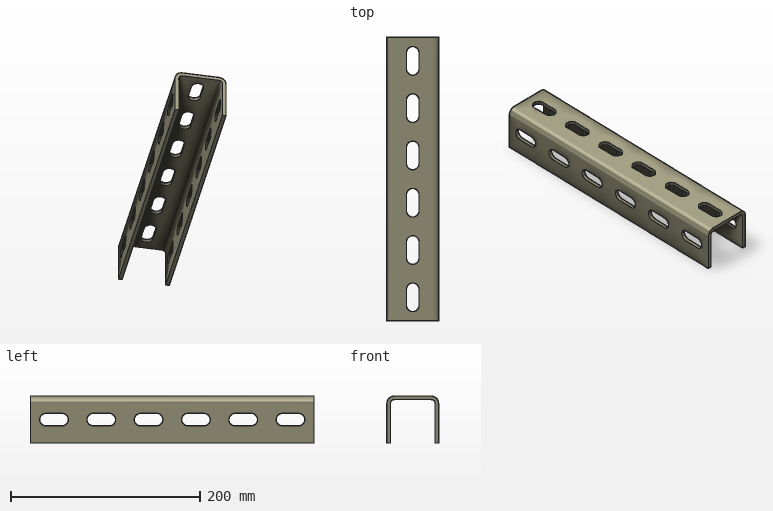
import cadquery as cq

width = 55.0
length = 300.0
height = 50.0
thickness = 4.0
outer_bend_radius = 8.0
inner_bend_radius = outer_bend_radius - thickness

slot_count = 6
slot_pitch = length / slot_count
slot_length = 30.0
slot_width = 13.0
side_slot_height = height / 2


def channel():
    """Bent-sheet U channel, open downwards, with its lower edges at Z = 0."""
    outer = (
        cq.Workplane("XY")
        .box(width, length, height, centered=(True, True, False))
        .edges("|Y and >Z")
        .fillet(outer_bend_radius)
    )
    inner = (
        cq.Workplane("XY")
        .box(width - 2 * thickness, length, height - thickness, centered=(True, True, False))
        .edges("|Y and >Z")
        .fillet(inner_bend_radius)
    )
    return outer.cut(inner)


def slot_row(plane, depth):
    """Cutters for a row of slots spaced along Y, reaching the given depth to both sides of the plane."""
    return (
        cq.Workplane(plane)
        .rarray(1, slot_pitch, 1, slot_count)
        .slot2D(slot_length, slot_width, 90)
        .extrude(depth, both=True)
    )


top_plane = cq.Plane(origin=(0, 0, height), xDir=(1, 0, 0), normal=(0, 0, 1))
side_plane = cq.Plane(origin=(0, 0, side_slot_height), xDir=(0, 0, -1), normal=(1, 0, 0))

top_slots = slot_row(top_plane, 2 * thickness)
side_slots = slot_row(side_plane, width)

result = channel().cut(top_slots).cut(side_slots)